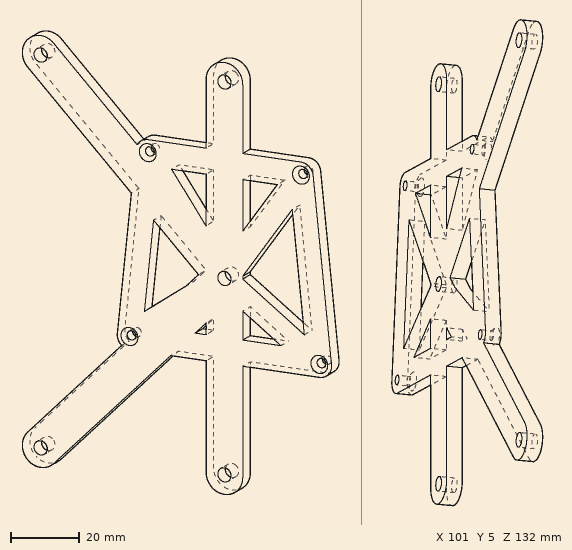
import cadquery as cq
import math

thickness = 5.0

arm_width = 12.0
arm_reach = 60.0
arm_hole_diameter = 4.3

frame_width = 8.0
frame_top_half_span = 25.0
frame_top_z = 35.0
frame_bottom_half_span = 31.0
frame_bottom_z = -22.0
frame_hole_diameter = 2.8
countersink_diameter = 5.5
countersink_angle = 90.0

center = (0.0, 0.0)
arm_ends = [
    (0.0, arm_reach),
    (0.0, -arm_reach),
    (-arm_reach, arm_reach),
    (-arm_reach, -arm_reach),
]
frame_corners = [
    (-frame_top_half_span, frame_top_z),
    (frame_top_half_span, frame_top_z),
    (frame_bottom_half_span, frame_bottom_z),
    (-frame_bottom_half_span, frame_bottom_z),
]


def bar(start, end, width):
    """Round-ended bar whose end arcs are centred on the (x, z) points start and end."""
    run_x = end[0] - start[0]
    run_z = end[1] - start[1]
    length = math.hypot(run_x, run_z)
    tilt = math.degrees(math.atan2(run_z, run_x))
    middle_x = (start[0] + end[0]) / 2
    middle_z = (start[1] + end[1]) / 2
    return (
        cq.Workplane("XZ")
        .center(middle_x, middle_z)
        .slot2D(length + width, width, tilt)
        .extrude(-thickness)
    )


def build_plate():
    """Join the arms, the diagonal braces and the four sides of the frame."""
    plate = bar(center, arm_ends[0], arm_width)
    for arm_end in arm_ends[1:]:
        plate = plate.union(bar(center, arm_end, arm_width))
    for index, corner in enumerate(frame_corners):
        previous_corner = frame_corners[index - 1]
        plate = plate.union(bar(center, corner, frame_width))
        plate = plate.union(bar(previous_corner, corner, frame_width))
    return plate.clean()


def drill_arm_holes(plate):
    """Plain through holes at the centre and at the arm ends."""
    holes = (
        cq.Workplane("XZ")
        .pushPoints([center] + arm_ends)
        .circle(arm_hole_diameter / 2)
        .extrude(-thickness)
    )
    return plate.cut(holes)


def drill_frame_holes(plate):
    """Through holes at the frame corners, countersunk from the front face."""
    return (
        plate.copyWorkplane(cq.Workplane("XZ"))
        .pushPoints(frame_corners)
        .cskHole(frame_hole_diameter, countersink_diameter, countersink_angle)
    )


result = drill_frame_holes(drill_arm_holes(build_plate()))